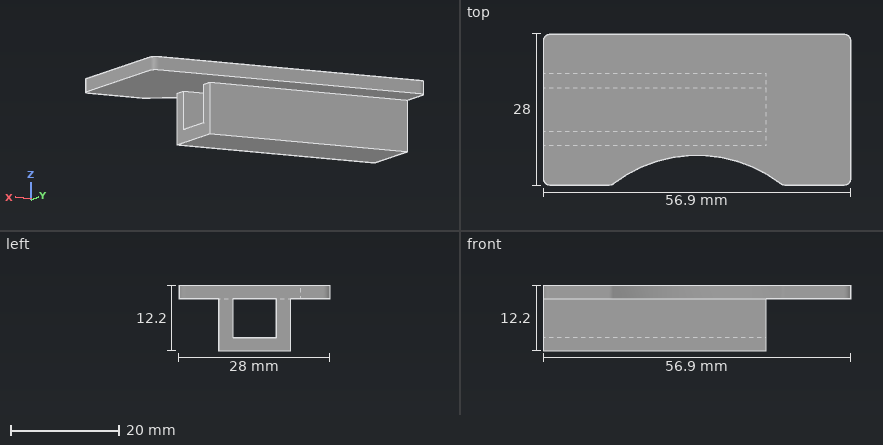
import cadquery as cq

plate_length = 56.9
plate_width = 27.95
plate_thickness = 2.5
corner_radius = 1.25

cutout_width = 31.65
cutout_depth = 5.5

total_height = 12.2
tube_length = 41.2
tube_width = 13.3
tube_floor = 2.5
channel_width = 7.95
tube_height = total_height - plate_thickness
channel_height = tube_height - tube_floor

left_x = -plate_length / 2
front_y = -plate_width / 2


def make_plate():
    """Plate with an arched front edge and all vertical edges rounded."""
    return (
        cq.Workplane("XY")
        .moveTo(left_x, front_y)
        .lineTo(-cutout_width / 2, front_y)
        .threePointArc((0, front_y + cutout_depth), (cutout_width / 2, front_y))
        .lineTo(-left_x, front_y)
        .lineTo(-left_x, -front_y)
        .lineTo(left_x, -front_y)
        .close()
        .extrude(plate_thickness)
        .edges("|Z")
        .fillet(corner_radius)
    )


def make_bar(width, height):
    """Bar hanging from the underside of the plate, as long as the tube."""
    return (
        cq.Workplane("XY")
        .box(tube_length, width, height, centered=(False, True, False))
        .translate((left_x, 0, -height))
    )


tube = make_bar(tube_width, tube_height).cut(make_bar(channel_width, channel_height))
result = make_plate().union(tube)